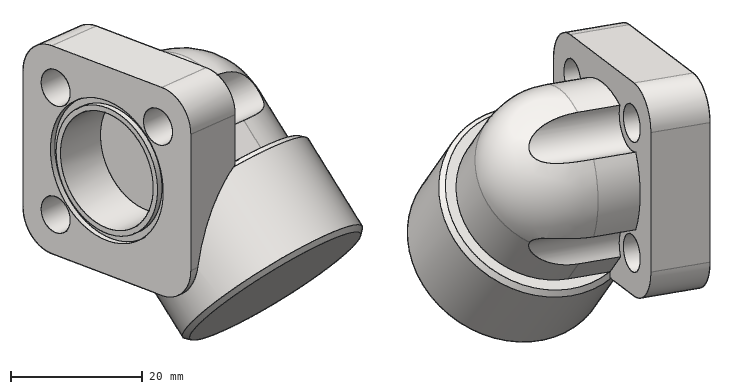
import cadquery as cq
import math

overall_size = 47.3

flange_side = 34.75
flange_thickness = 10.0
flange_corner_radius = 6.0
bolt_hole_diameter = 6.0
bolt_offset = 10.6
bolt_clearance_radius = 4.5

bore_diameter = 19.2
groove_inner_diameter = 21.0
groove_outer_diameter = 23.35
groove_depth = 1.0
bore_depth = 9.0

body_radius = 13.6
branch_height = 17.1
socket_radius = 16.1
socket_start = 9.55
socket_chamfer = 0.8
socket_end = (overall_size - flange_side / 2) * math.sqrt(2) - socket_radius + socket_chamfer

bolt_points = [
    (-bolt_offset, bolt_offset),
    (bolt_offset, bolt_offset),
    (-bolt_offset, -bolt_offset),
]


def plane_at(depth):
    """Plane parallel to the flange face, looking into the part along +Y."""
    return cq.Plane(origin=(0, depth, 0), xDir=(-1, 0, 0), normal=(0, 1, 0))


def at_bolts(depth):
    """Workplane with a point at each bolt, mirrored to suit the plane's X direction."""
    return cq.Workplane(plane_at(depth)).pushPoints([(-x, z) for x, z in bolt_points])


def branch_plane(distance):
    """Plane square to the branch axis, at a distance from the elbow centre."""
    step = distance / math.sqrt(2)
    return cq.Plane(origin=(step, branch_height, -step), xDir=(0, 1, 0), normal=(1, 0, -1))


def make_flange():
    plate = cq.Workplane(plane_at(0)).rect(flange_side, flange_side).extrude(flange_thickness)
    return plate.edges("|Y").fillet(flange_corner_radius)


def make_elbow():
    """Domed riser and round branch, with a straight-sided web joining the branch to the flange."""
    riser = cq.Workplane(plane_at(0)).circle(body_radius).extrude(branch_height)
    dome = cq.Workplane(plane_at(branch_height)).sphere(body_radius)
    branch = cq.Workplane(branch_plane(0)).circle(body_radius).extrude(socket_end)
    web = cq.Workplane(branch_plane(0)).center(-branch_height / 2, 0).rect(branch_height, 2 * body_radius)
    return riser.union(dome).union(branch).union(web.extrude(socket_start))


def make_socket():
    socket = cq.Workplane(branch_plane(socket_start)).circle(socket_radius)
    return socket.extrude(socket_end - socket_start).edges().chamfer(socket_chamfer)


def make_bolt_clearance():
    """Round channels behind the flange that leave room for the bolts."""
    return at_bolts(flange_thickness).circle(bolt_clearance_radius).extrude(branch_height + body_radius)


def make_seal_groove():
    ring = cq.Workplane(plane_at(0)).circle(groove_outer_diameter / 2).circle(groove_inner_diameter / 2)
    return ring.extrude(groove_depth)


elbow = make_elbow().cut(make_bolt_clearance())
bolt_holes = at_bolts(0).circle(bolt_hole_diameter / 2).extrude(flange_thickness)
bore = cq.Workplane(plane_at(0)).circle(bore_diameter / 2).extrude(bore_depth)

result = make_flange().union(elbow).union(make_socket())
result = result.cut(bolt_holes).cut(bore).cut(make_seal_groove())